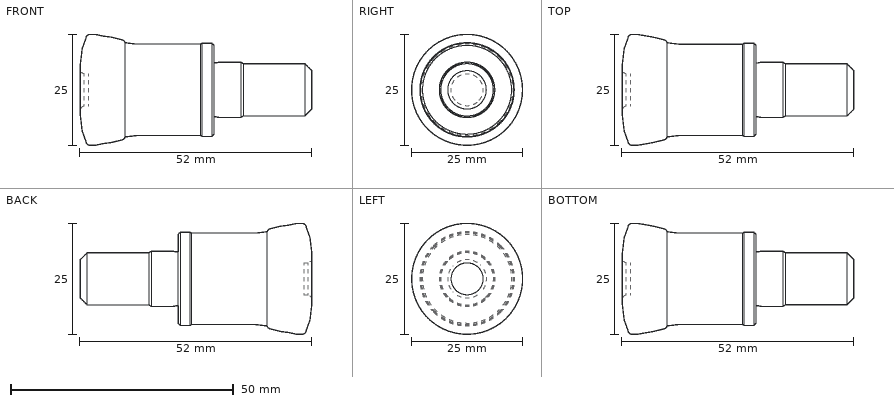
import cadquery as cq
import math

TOTAL_LENGTH = 52.0

CAP_RADIUS = 12.5
FACE_RADIUS = 5.75
DIMPLE_MOUTH_RADIUS = 4.8
DIMPLE_FLOOR_RADIUS = 3.6
DIMPLE_DEPTH = 1.8
LIP_DEPTH = 0.9
DOME_MID_X = 0.4
DOME_MID_RADIUS = 9.25
DOME_EDGE_X = 1.25
DOME_EDGE_RADIUS = 11.55
RIM_START_X = 2.25
RIM_END_X = 3.4
TAPER_MID_X = 6.95
TAPER_MID_RADIUS = 11.85
TAPER_END_X = 9.3
TAPER_END_RADIUS = 11.3
JOINT_X = 10.1
JOINT_RADIUS = 10.6

BARREL_RADIUS = 20.6 / 2
CONE_END_X = 12.1
CONE_END_RADIUS = 10.35
BLEND_END_X = 12.75
FLANGE_RADIUS = 21.0 / 2
FLANGE_START_X = 27.05
FLANGE_END_X = 30.05
FLANGE_LEAD = 0.3
FLANGE_CHAMFER = 0.5
COLLAR_RADIUS = 12.5 / 2
RELIEF_RADIUS = 6.1
RELIEF_END_X = 30.45
COLLAR_START_X = 31.25
COLLAR_END_X = 36.05
SHANK_RADIUS = 11.75 / 2
SHANK_START_X = 36.6
TIP_CHAMFER = 1.55

AXIS_START = (0, 0, 0)
AXIS_END = (1, 0, 0)


def turn(profile):
    """Revolve a closed half-profile (X, radius) about the X axis."""
    return profile.close().revolve(360, AXIS_START, AXIS_END)


def arc_middle(start, end, center, radius):
    """Point on an arc about center, halfway between the directions of its two ends."""
    x = (start[0] + end[0]) / 2 - center[0]
    r = (start[1] + end[1]) / 2 - center[1]
    length = math.hypot(x, r)
    return (center[0] + radius * x / length, center[1] + radius * r / length)


def make_cap():
    """Domed, tapered cap with a shallow round dimple in its front face."""
    rim_start = (RIM_START_X, CAP_RADIUS)
    dome_edge = (DOME_EDGE_X, DOME_EDGE_RADIUS)
    run = RIM_START_X - DOME_EDGE_X
    drop = CAP_RADIUS - DOME_EDGE_RADIUS
    corner_radius = (run**2 + drop**2) / (2 * drop)
    corner_center = (RIM_START_X, CAP_RADIUS - corner_radius)
    corner_middle = arc_middle(dome_edge, rim_start, corner_center, corner_radius)

    lip_width = DIMPLE_MOUTH_RADIUS - DIMPLE_FLOOR_RADIUS
    lip_radius = (LIP_DEPTH**2 + lip_width**2) / (2 * LIP_DEPTH)
    lip_mouth = (0, DIMPLE_MOUTH_RADIUS)
    lip_foot = (LIP_DEPTH, DIMPLE_FLOOR_RADIUS)
    lip_middle = arc_middle(lip_mouth, lip_foot, (lip_radius, DIMPLE_MOUTH_RADIUS), lip_radius)

    profile = (
        cq.Workplane("XY")
        .moveTo(DIMPLE_DEPTH, 0)
        .lineTo(DIMPLE_DEPTH, DIMPLE_FLOOR_RADIUS)
        .lineTo(*lip_foot)
        .threePointArc(lip_middle, lip_mouth)
        .lineTo(0, FACE_RADIUS)
        .lineTo(DOME_MID_X, DOME_MID_RADIUS)
        .lineTo(*dome_edge)
        .threePointArc(corner_middle, rim_start)
        .lineTo(RIM_END_X, CAP_RADIUS)
        .lineTo(TAPER_MID_X, TAPER_MID_RADIUS)
        .lineTo(TAPER_END_X, TAPER_END_RADIUS)
        .tangentArcPoint((JOINT_X, JOINT_RADIUS), relative=False)
        .lineTo(JOINT_X, 0)
    )
    return turn(profile)


def make_plunger_body():
    """Barrel with rear flange, collar and chamfered shank."""
    profile = (
        cq.Workplane("XY")
        .moveTo(JOINT_X, 0)
        .lineTo(JOINT_X, JOINT_RADIUS)
        .lineTo(CONE_END_X, CONE_END_RADIUS)
        .tangentArcPoint((BLEND_END_X, BARREL_RADIUS), relative=False)
        .lineTo(FLANGE_START_X, BARREL_RADIUS)
        .lineTo(FLANGE_START_X + FLANGE_LEAD, FLANGE_RADIUS)
        .lineTo(FLANGE_END_X - FLANGE_CHAMFER, FLANGE_RADIUS)
        .lineTo(FLANGE_END_X, FLANGE_RADIUS - FLANGE_CHAMFER)
        .lineTo(FLANGE_END_X, RELIEF_RADIUS)
        .lineTo(RELIEF_END_X, RELIEF_RADIUS)
        .lineTo(COLLAR_START_X, COLLAR_RADIUS)
        .lineTo(COLLAR_END_X, COLLAR_RADIUS)
        .lineTo(SHANK_START_X, SHANK_RADIUS)
        .lineTo(TOTAL_LENGTH - TIP_CHAMFER, SHANK_RADIUS)
        .lineTo(TOTAL_LENGTH, SHANK_RADIUS - TIP_CHAMFER)
        .lineTo(TOTAL_LENGTH, 0)
    )
    return turn(profile)


cap = make_cap()
plunger_body = make_plunger_body()

result = cq.Compound.makeCompound([cap.val(), plunger_body.val()])